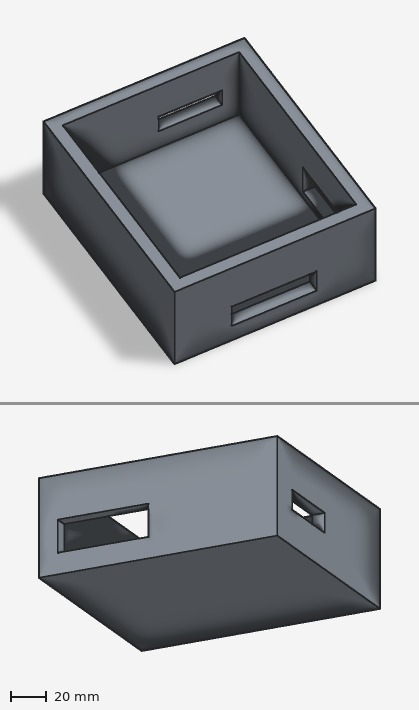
import cadquery as cq

LENGTH = 150.0
WIDTH = 130.0
HEIGHT = 60.0
WALL = 8.0
FLOOR = 8.0

LEFT_OPENING_Y = (5.0, 46.0)
LEFT_OPENING_Z = (22.0, 34.0)
RIGHT_OPENING_Y = (-28.0, 27.0)
RIGHT_OPENING_Z = (12.0, 28.0)
BACK_OPENING_X = (6.0, 63.0)
BACK_OPENING_Z = (13.0, 33.0)

LEFT_WALL_X = (-LENGTH / 2, -LENGTH / 2 + WALL)
RIGHT_WALL_X = (LENGTH / 2 - WALL, LENGTH / 2)
BACK_WALL_Y = (WIDTH / 2 - WALL, WIDTH / 2)


def block(x_limits, y_limits, z_limits):
    """Rectangular block spanning the given (low, high) limits along X, Y and Z."""
    limits = (x_limits, y_limits, z_limits)
    corner = tuple(low for low, high in limits)
    size = [high - low for low, high in limits]
    return cq.Workplane("XY").box(*size, centered=False).translate(corner)


def make_box():
    """Open-topped box with a solid floor and four walls of equal thickness."""
    outer = block((-LENGTH / 2, LENGTH / 2), (-WIDTH / 2, WIDTH / 2), (0, HEIGHT))
    inner_half_length = LENGTH / 2 - WALL
    inner_half_width = WIDTH / 2 - WALL
    cavity = block(
        (-inner_half_length, inner_half_length),
        (-inner_half_width, inner_half_width),
        (FLOOR, HEIGHT),
    )
    return outer.cut(cavity)


left_opening = block(LEFT_WALL_X, LEFT_OPENING_Y, LEFT_OPENING_Z)
right_opening = block(RIGHT_WALL_X, RIGHT_OPENING_Y, RIGHT_OPENING_Z)
back_opening = block(BACK_OPENING_X, BACK_WALL_Y, BACK_OPENING_Z)

result = make_box().cut(left_opening).cut(right_opening).cut(back_opening)